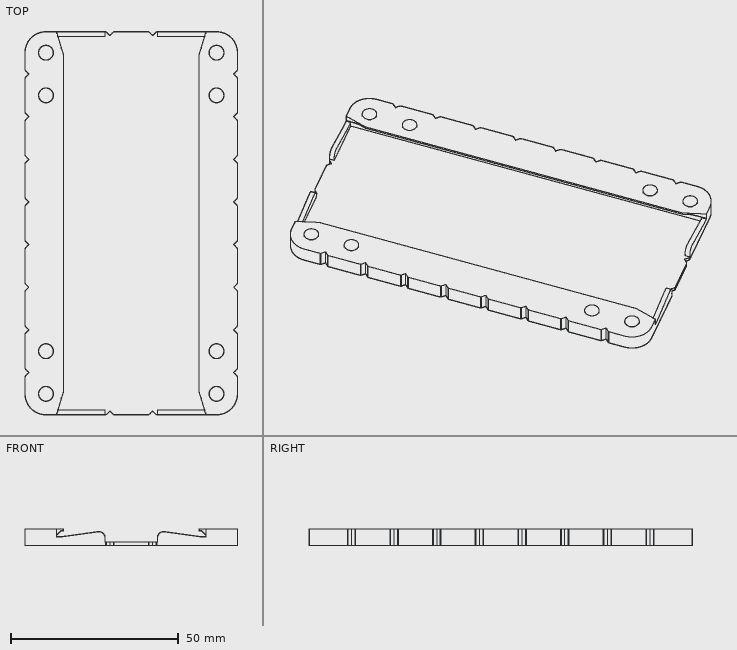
import cadquery as cq
import math

length = 114.1
width = 63.3
height = 5.0
floor_height = 1.1

corner_radius = 6.3
grid_steps_to_corner = 4
grid = (length / 2 - corner_radius) / grid_steps_to_corner
hole_diameter = 4.3
hole_x = width / 2 - corner_radius
hole_rows = ((grid_steps_to_corner - 1) * grid, grid_steps_to_corner * grid)

notch_depth = 1.1
notch_half_width = 1.0
mouth_depth = notch_depth - notch_half_width
mouth_half_width = 1.3
side_notch_count = 2 * grid_steps_to_corner

pocket_half_width = 22.2
lip_half_gap = 20.2
lip_thickness = 0.6
lip_slope_start = 20.9
lip_slope_angle = 45.0
flare_length = 6.8

tab_thickness = 1.5
tab_base_height = 2.7
tab_ramp_start = 20.4
tab_ramp_rise = 1.5
tab_round_radius = 1.9
tab_inner_x = 7.8


def make_plate():
    """Rounded block with the four pairs of screw holes."""
    holes = [(sx * hole_x, sy * y) for sx in (-1, 1) for sy in (-1, 1) for y in hole_rows]
    plate = cq.Workplane("XY").rect(width, length).extrude(height).edges("|Z").fillet(corner_radius)
    return plate.faces(">Z").workplane(origin=(0, 0, height)).pushPoints(holes).hole(hole_diameter)


def extrude_along_y(outline, depth):
    """Prism of an XZ outline, centred on Y = 0."""
    return outline.extrude(depth / 2, both=True)


def make_pocket():
    """Slot over the floor, undercut below the lips by a sloped underside."""
    lip_bottom = height - lip_thickness
    slope_drop = (pocket_half_width - lip_slope_start) * math.tan(math.radians(lip_slope_angle))
    half = [
        (lip_half_gap, height),
        (lip_half_gap, lip_bottom),
        (lip_slope_start, lip_bottom),
        (pocket_half_width, lip_bottom - slope_drop),
        (pocket_half_width, floor_height),
    ]
    mirrored = [(-x, z) for x, z in reversed(half)]
    return extrude_along_y(cq.Workplane("XZ").polyline(half + mirrored).close(), length)


def make_flare(end):
    """Cut that widens the gap between the lips towards one end."""
    start_y = end * (length / 2 - flare_length)
    end_y = end * length / 2
    outline = [
        (-lip_half_gap, start_y),
        (lip_half_gap, start_y),
        (pocket_half_width, end_y),
        (-pocket_half_width, end_y),
    ]
    return cq.Workplane("XY").workplane(offset=floor_height).polyline(outline).close().extrude(height)


def make_tab(side, end):
    """Ramped end tab with a rounded inner corner."""
    round_x = tab_inner_x + tab_round_radius
    top = tab_base_height + tab_ramp_rise
    arc_offset = tab_round_radius * math.sqrt(0.5)
    outline = (
        cq.Workplane("XZ")
        .moveTo(side * pocket_half_width, 0)
        .lineTo(side * pocket_half_width, tab_base_height)
        .lineTo(side * tab_ramp_start, tab_base_height)
        .lineTo(side * round_x, top)
        .threePointArc(
            (side * (round_x - arc_offset), top - tab_round_radius + arc_offset),
            (side * tab_inner_x, top - tab_round_radius),
        )
        .lineTo(side * tab_inner_x, 0)
        .close()
    )
    middle_y = end * (length - tab_thickness) / 2
    return extrude_along_y(outline, tab_thickness).translate((0, middle_y, 0))


def make_notches():
    """V grooves through the full height, along both sides and in the middle of both ends."""
    first = -(side_notch_count - 1) / 2
    side_rows = [(first + i) * grid for i in range(side_notch_count)]
    side_places = [(s * width / 2, y) for s in (-1, 1) for y in side_rows]
    end_places = [(s * grid / 2, end * length / 2) for s in (-1, 1) for end in (-1, 1)]
    half = [
        (0, mouth_half_width),
        (mouth_depth, notch_half_width),
        (notch_depth, 0),
        (mouth_depth, -notch_half_width),
    ]
    opposite = [(-x, -y) for x, y in half]
    cutter = cq.Workplane("XY").polyline(half + opposite).close().extrude(height).val()
    end_cutter = cutter.rotate(cq.Vector(0, 0, 0), cq.Vector(0, 0, 1), 90)
    side_cutters = [cutter.translate(cq.Vector(x, y, 0)) for x, y in side_places]
    end_cutters = [end_cutter.translate(cq.Vector(x, y, 0)) for x, y in end_places]
    return side_cutters + end_cutters


result = make_plate().cut(make_pocket())
for end in (-1, 1):
    result = result.cut(make_flare(end))
    for side in (-1, 1):
        result = result.union(make_tab(side, end))
for notch in make_notches():
    result = result.cut(notch)